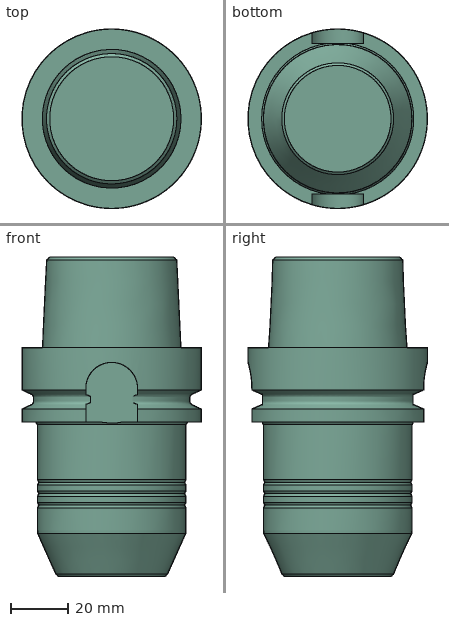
import cadquery as cq

total_height = 112.0
flange_top = 80.2
flange_lower_edge = 65.4
neck_top = 63.5
neck_bottom = 60.6
rim_top = 58.7
rim_bottom = 54.1
undercut_step = 0.9
shoulder_top = 16.1
shoulder_bottom = 15.1
nose_chamfer_height = 0.9

flange_radius = 63.0 / 2
body_radius = 52.1 / 2
neck_radius = 27.4
neck_fillet = 1.1
undercut_radius = 26.7
shoulder_radius = 26.0
nose_radius = 19.6
taper_base_radius = 24.3
taper_tip_radius = 22.8
tip_chamfer = 1.1

groove_tops = (33.9, 30.0, 26.0)
groove_height = 1.9
groove_root_drop = 0.9
groove_depth = 0.5

slot_width = 18.1
slot_top = 75.0
slot_floor = 26.4


def turned_body():
    """Solid of revolution: nose, body, grooved flange and taper shank."""
    outline = [
        (0, 0),
        (nose_radius - nose_chamfer_height, 0),
        (nose_radius, nose_chamfer_height),
        (shoulder_radius, shoulder_bottom),
        (body_radius, shoulder_top),
        (body_radius, rim_bottom - undercut_step),
        (undercut_radius, rim_bottom),
        (flange_radius, rim_bottom),
        (flange_radius, rim_top),
        (neck_radius, neck_bottom),
        (neck_radius, neck_top),
        (flange_radius, flange_lower_edge),
        (flange_radius, flange_top),
        (taper_base_radius, flange_top),
        (taper_tip_radius, total_height - tip_chamfer),
        (taper_tip_radius - tip_chamfer, total_height),
        (0, total_height),
    ]
    body = cq.Workplane("XZ").polyline(outline).close().revolve(360, (0, 0, 0), (0, 1, 0))
    neck_edges = cq.selectors.BoxSelector(
        (-flange_radius, -flange_radius, neck_bottom - neck_fillet),
        (flange_radius, flange_radius, neck_top + neck_fillet),
    )
    return body.edges(neck_edges).edges("%CIRCLE").fillet(neck_fillet)


def ring_groove(top):
    """Shallow V-shaped ring whose upper edge is at the given height."""
    outer_radius = body_radius + groove_depth
    profile = [
        (outer_radius, top),
        (body_radius, top),
        (body_radius - groove_depth, top - groove_root_drop),
        (body_radius, top - groove_height),
        (outer_radius, top - groove_height),
    ]
    return cq.Workplane("XZ").polyline(profile).close().revolve(360, (0, 0, 0), (0, 1, 0))


def driving_slot():
    """Cutter for the slot on the -Y side, open through the underside of the rim."""
    half_width = slot_width / 2
    slot_bottom = rim_bottom - undercut_step
    arc_start = slot_top - half_width
    return (
        cq.Workplane("XZ", origin=(0, -slot_floor, 0))
        .moveTo(-half_width, slot_bottom)
        .lineTo(-half_width, arc_start)
        .threePointArc((0, slot_top), (half_width, arc_start))
        .lineTo(half_width, slot_bottom)
        .close()
        .extrude(flange_radius)
    )


result = turned_body()
for groove_top in groove_tops:
    result = result.cut(ring_groove(groove_top))
for angle in (0, 180):
    result = result.cut(driving_slot().rotate((0, 0, 0), (0, 0, 1), angle))